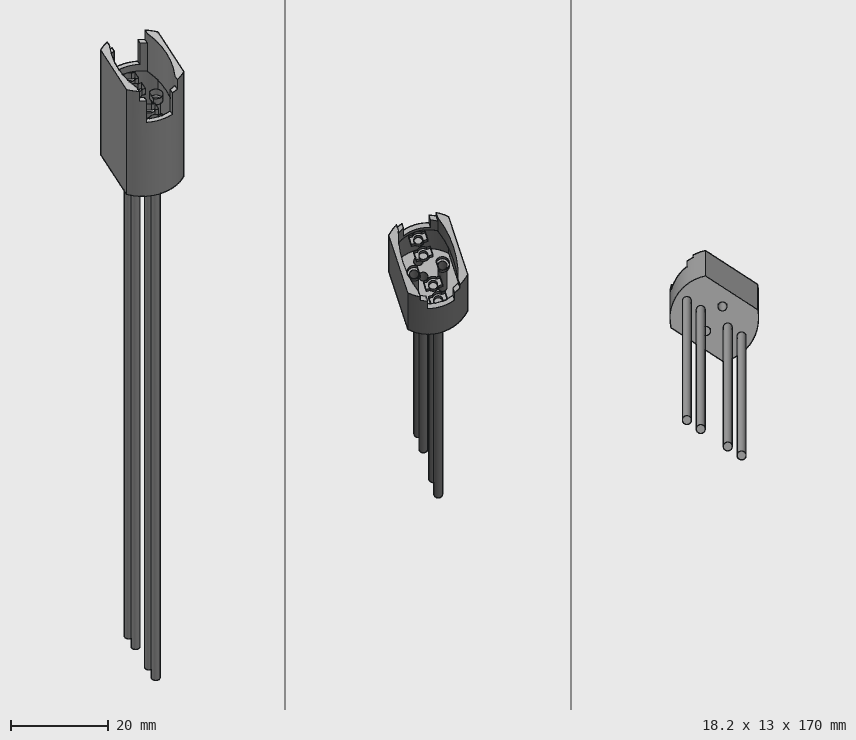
import cadquery as cq
import math

total_height = 170.0
body_height = 30.0
body_diameter = 18.2
body_depth = 13.0

cavity_depth = 10.7
cavity_diameter = 16.2
cavity_half_width = 5.5
corner_half_width = 4.2

upper_notch_width = 2 * corner_half_width
upper_notch_depth = 2.7
lower_notch_width = 5.8
lower_notch_depth = 8.8

wire_diameter = 1.9
outer_wire_spacing = 13.5
inner_wire_spacing = 6.6
slot_length = 1.9
slot_width = 3.5
slot_belly_diameter = 2.7
slot_depth = 1.7
bore_depth = 1.7

hole_diameter = 1.9
hole_offset = 3.0
recess_diameter = 2.9
recess_flat_offset = 2.0
recess_depth = 1.7

body_top = total_height
body_bottom = body_top - body_height
cavity_floor = body_top - cavity_depth
slot_floor = cavity_floor - slot_depth
bore_floor = slot_floor - bore_depth

wire_centres = [
    (side * spacing / 2, 0)
    for spacing in (outer_wire_spacing, inner_wire_spacing)
    for side in (-1, 1)
]
hole_centres = [(0, -hole_offset), (0, hole_offset)]


def plane_at(z):
    """Horizontal workplane at height z."""
    return cq.Workplane("XY", origin=(0, 0, z))


def cylinders(centres, diameter, bottom, top):
    """Upright cylinders at the given centres."""
    return plane_at(bottom).pushPoints(centres).circle(diameter / 2).extrude(top - bottom)


def bar(length, width, bottom, top):
    """Upright block centred on the Z axis."""
    return plane_at(bottom).rect(length, width).extrude(top - bottom)


def make_cavity():
    """Pocket with bowed side walls and ends concentric with the body."""
    end_radius = cavity_diameter / 2
    corner_x = math.sqrt(end_radius**2 - corner_half_width**2)
    return (
        plane_at(cavity_floor)
        .moveTo(-corner_x, corner_half_width)
        .threePointArc((0, cavity_half_width), (corner_x, corner_half_width))
        .threePointArc((end_radius, 0), (corner_x, -corner_half_width))
        .threePointArc((0, -cavity_half_width), (-corner_x, -corner_half_width))
        .threePointArc((-end_radius, 0), (-corner_x, corner_half_width))
        .close()
        .extrude(cavity_depth)
    )


def make_contact_slots():
    """Slots in the cavity floor, widened to a round belly, with the wire bores under them."""
    slots = plane_at(slot_floor).pushPoints(wire_centres).rect(slot_length, slot_width).extrude(slot_depth)
    bellies = cylinders(wire_centres, slot_belly_diameter, slot_floor, cavity_floor)
    bores = cylinders(wire_centres, wire_diameter, bore_floor, slot_floor)
    return slots.union(bellies).union(bores)


def make_holes():
    """Holes through the floor and their recesses, flat on the side facing the contacts."""
    recess_floor = cavity_floor - recess_depth
    recesses = cylinders(hole_centres, recess_diameter, recess_floor, cavity_floor)
    recesses = recesses.cut(bar(body_diameter, 2 * recess_flat_offset, recess_floor, cavity_floor))
    return cylinders(hole_centres, hole_diameter, body_bottom, cavity_floor).union(recesses)


body = cylinders([(0, 0)], body_diameter, body_bottom, body_top)
body = body.intersect(bar(body_diameter, body_depth, body_bottom, body_top))

body = body.cut(make_cavity())
body = body.cut(bar(body_diameter, upper_notch_width, body_top - upper_notch_depth, body_top))
body = body.cut(bar(body_diameter, lower_notch_width, body_top - lower_notch_depth, body_top))
body = body.cut(make_contact_slots())
body = body.cut(make_holes())

result = body.union(cylinders(wire_centres, wire_diameter, 0, bore_floor))